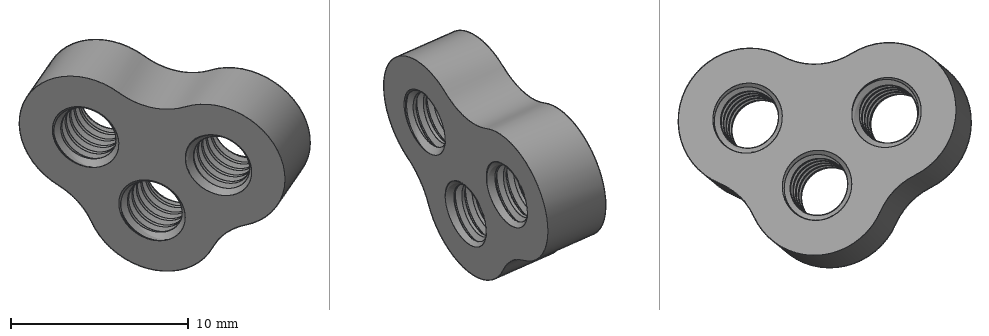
import cadquery as cq
import math

thickness = 4.0
lobe_radius = 4.0
blend_radius = lobe_radius
hole_offset = 4.0

major_radius = 2.0
minor_radius = 1.65
pitch = 0.7
flank_angle = 30.0
root_width = pitch / 8
chamfer_depth = major_radius - minor_radius

turns_beyond_face = 2
profile_overlap = 0.03
bore_overshoot = 0.5

left_hole = (-hole_offset, 0.0)
right_hole = (hole_offset, 0.0)
lower_hole = (0.0, -hole_offset)

thread_turns = [(left_hole, 3.0), (right_hole, 290.0), (lower_hole, 20.0)]


def along(start, end, distance):
    """Point at a distance from start on the line towards end."""
    length = math.dist(start, end)
    return tuple(s + (e - s) * distance / length for s, e in zip(start, end))


def blend_center(first, second, outward):
    """Centre of the blend arc touching two lobes, on their outward side."""
    half_span = math.dist(first, second) / 2
    reach = math.sqrt((lobe_radius + blend_radius) ** 2 - half_span**2)
    middle = tuple((a + b) / 2 for a, b in zip(first, second))
    target = tuple(m + o for m, o in zip(middle, outward))
    return along(middle, target, reach)


def make_body():
    """Three-lobed plate, centred on Y = 0, outlined clockwise from the left lobe."""
    top = blend_center(left_hole, right_hole, (0, 1))
    lower_right = blend_center(right_hole, lower_hole, (1, -1))
    lower_left = blend_center(lower_hole, left_hole, (-1, -1))
    origin = (0.0, 0.0)
    lobe_tip = hole_offset + lobe_radius

    stretches = [
        (top, right_hole, (lobe_tip, 0), lower_right),
        (lower_right, lower_hole, (0, -lobe_tip), lower_left),
        (lower_left, left_hole, (-lobe_tip, 0), top),
    ]
    outline = cq.Workplane("XZ", origin=(0, thickness / 2, 0))
    outline = outline.moveTo(*along(left_hole, top, lobe_radius))
    for blend, lobe, tip, next_blend in stretches:
        blend_middle = along(blend, origin, blend_radius)
        outline = outline.threePointArc(blend_middle, along(lobe, blend, lobe_radius))
        outline = outline.threePointArc(tip, along(lobe, next_blend, lobe_radius))
    return outline.close().extrude(thickness)


def make_bore_cutter():
    """Bore along Z, centred on the origin, with a lead-in chamfer at both faces."""
    cutter_end = thickness / 2 + bore_overshoot
    mouth_radius = major_radius + bore_overshoot
    chamfer_end = thickness / 2 - chamfer_depth
    return (
        cq.Workplane("XZ")
        .moveTo(0, -cutter_end)
        .lineTo(mouth_radius, -cutter_end)
        .lineTo(minor_radius, -chamfer_end)
        .lineTo(minor_radius, chamfer_end)
        .lineTo(mouth_radius, cutter_end)
        .lineTo(0, cutter_end)
        .close()
        .revolve(360, (0, 0), (0, 1))
    )


def make_groove_cutter():
    """Right-hand helical thread groove along Z, running out past both faces."""
    half_length = thickness / 2 + turns_beyond_face * pitch
    inner_radius = minor_radius - profile_overlap
    half_root = root_width / 2
    flank_width = (major_radius - inner_radius) * math.tan(math.radians(flank_angle))
    half_mouth = half_root + flank_width
    helix = cq.Wire.makeHelix(pitch, 2 * half_length, major_radius)
    helix = helix.translate(cq.Vector(0, 0, -half_length))
    return (
        cq.Workplane("XZ", origin=(0, 0, -half_length))
        .moveTo(inner_radius, -half_mouth)
        .lineTo(major_radius, -half_root)
        .lineTo(major_radius, half_root)
        .lineTo(inner_radius, half_mouth)
        .close()
        .sweep(cq.Workplane(obj=helix), isFrenet=True)
    )


def place(cutter, center, turn):
    """Turn a cutter about its Z axis, lay that axis along Y and move it to a hole."""
    turned = cutter.rotate((0, 0, 0), (0, 0, 1), turn)
    along_y = turned.rotate((0, 0, 0), (1, 0, 0), 90)
    return along_y.translate((center[0], 0, center[1]))


result = make_body()
groove_cutter = make_groove_cutter()
bore_cutter = make_bore_cutter()
for hole_center, thread_turn in thread_turns:
    result = result.cut(place(groove_cutter, hole_center, thread_turn))
    result = result.cut(place(bore_cutter, hole_center, thread_turn))